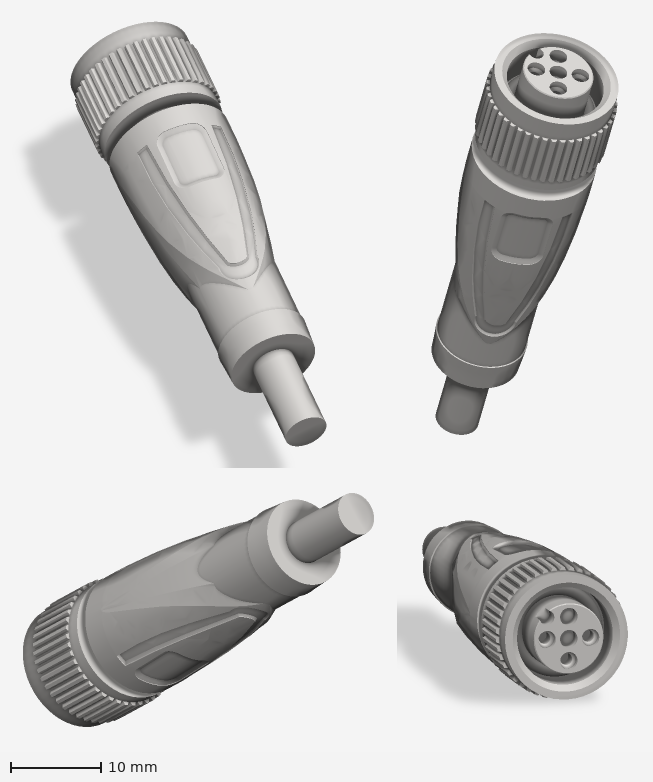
import cadquery as cq
import math

LENGTH = 55.3

RING_START = 1.05
RING_END = 11.5
RING_RADIUS = 7.0
KNURL_START = 3.55
KNURL_END = 9.9
KNURL_RADIUS = 7.4
TOOTH_COUNT = 45
TOOTH_ROOT_WIDTH = 0.85
TOOTH_TIP_WIDTH = 0.4
TOOTH_OVERLAP = 0.1
SOCKET_RADIUS = 5.5
SOCKET_MOUTH_RADIUS = 6.15
SOCKET_CHAMFER = SOCKET_MOUTH_RADIUS - SOCKET_RADIUS
SOCKET_FLOOR = 5.55

INSERT_RADIUS = 4.0
INSERT_CHAMFER = 0.1
SEAL_RADIUS = 4.6
SEAL_THICKNESS = 1.3
CONTACT_PITCH = 2.5
CONTACT_HOLE_RADIUS = 1.0
CONTACT_HOLE_DEPTH = 0.85
CONTACT_BORE_RADIUS = 0.65
CONTACT_BORE_DEPTH = 1.65
CONTACT_FUNNEL_DEPTH = 0.35
PLAIN_HOLE_DEPTH = 1.65
KEY_RADIUS = 0.85
KEY_DEPTH = 2.2

NECK_RADIUS = 4.8
GRIP_START = 13.15
TAPER_START = 16.25
TAPER_MIDDLE = 27.65
TAPER_END = 38.15
GRIP_RADIUS = 7.1
TAPER_MIDDLE_RADIUS = 6.4
SLEEVE_RADIUS = 5.05
COLLAR_START = 41.75
COLLAR_END = 45.25
COLLAR_START_RADIUS = 5.2
COLLAR_END_RADIUS = 5.0
CABLE_RADIUS = 2.45

SIDE_START_SLOPE = 0.045
SIDE_CURVE_RADIUS = 91.25
FACET_SLOPE = 0.12
FACET_START_HALF_HEIGHT = 0.1
FACET_END_TILT = math.radians(54)
SIDE_SECTIONS = 6
SIDE_OVERRUN = 0.55

CHANNEL_DEPTH = 0.3
CHANNEL_CHAMFER = 0.2
PANEL_DEPTH = 0.4
PANEL_CHAMFER_HEIGHT = 0.35
PANEL_CHAMFER_WIDTH = 0.65
CHANNEL_ARM_END = 34.3
CHANNEL_OUTER_EDGE = (5.0, 4.05, 2.3, 36.8)
CHANNEL_INNER_EDGE = (3.8, 2.65, 1.1, 34.75)
PANEL_START = 15.85
PANEL_END = 23.7
PANEL_WIDTH = 5.85
PANEL_CORNER = 1.4
ORNAMENT_FLOOR_START = PANEL_START - 0.55


def cylinder(start, end, radius):
    return cq.Workplane("YZ", origin=(start, 0, 0)).circle(radius).extrude(end - start)


def cone(start, end, start_radius, end_radius):
    outline = [(start, 0), (start, start_radius), (end, end_radius), (end, 0)]
    return cq.Workplane("XY").polyline(outline).close().revolve(360, (0, 0, 0), (1, 0, 0))


def grip_of_revolution(inset=0.0, taper_start=TAPER_START):
    """Round grip that tapers to the cable sleeve, shrunk inwards by inset."""
    return (
        cq.Workplane("XY")
        .moveTo(GRIP_START, 0)
        .lineTo(GRIP_START, GRIP_RADIUS - inset)
        .lineTo(taper_start, GRIP_RADIUS - inset)
        .threePointArc((TAPER_MIDDLE, TAPER_MIDDLE_RADIUS - inset), (TAPER_END, SLEEVE_RADIUS - inset))
        .lineTo(TAPER_END, 0)
        .close()
        .revolve(360, (0, 0, 0), (1, 0, 0))
    )


def side_section(x):
    """Cross-section of the material cut from the +Y side of the grip at x."""
    along = x - TAPER_START
    face = GRIP_RADIUS - SIDE_START_SLOPE * along - along**2 / (2 * SIDE_CURVE_RADIUS)
    half_height = FACET_START_HALF_HEIGHT + FACET_SLOPE * along
    tilt = FACET_END_TILT * (along / (TAPER_END - TAPER_START)) ** 3
    reach = 2 * GRIP_RADIUS
    tip_y = face - reach * math.sin(tilt)
    tip_z = half_height + reach * math.cos(tilt)
    points = [
        (face, -half_height),
        (face, half_height),
        (tip_y, tip_z),
        (reach, tip_z),
        (reach, -tip_z),
        (tip_y, -tip_z),
    ]
    return cq.Wire.makePolygon([cq.Vector(x, y, z) for y, z in points], close=True)


def side_cutter():
    start = TAPER_START - SIDE_OVERRUN
    step = (TAPER_END + SIDE_OVERRUN - start) / (SIDE_SECTIONS - 1)
    sections = [side_section(start + i * step) for i in range(SIDE_SECTIONS)]
    return cq.Workplane(cq.Solid.makeLoft(sections))


def tongue(start_width, middle_width, end_width, tip):
    """Upright block with bowed sides that narrow towards a rounded tip."""
    return (
        cq.Workplane("XY")
        .moveTo(TAPER_START, -start_width)
        .threePointArc((TAPER_MIDDLE, -middle_width), (CHANNEL_ARM_END, -end_width))
        .threePointArc((tip, 0), (CHANNEL_ARM_END, end_width))
        .threePointArc((TAPER_MIDDLE, middle_width), (TAPER_START, start_width))
        .close()
        .extrude(2 * GRIP_RADIUS)
    )


def channel_cutter():
    """U-shaped channel with sloping edges and a floor that follows the grip."""
    outer = tongue(*CHANNEL_OUTER_EDGE)
    inner = tongue(*CHANNEL_INNER_EDGE)
    floor = grip_of_revolution(CHANNEL_DEPTH, ORNAMENT_FLOOR_START)
    return outer.cut(inner).cut(floor).faces("<Z").chamfer(CHANNEL_CHAMFER)


def panel_cutter():
    """Rounded rectangular recess whose walls slope in towards the curved floor."""
    floor = grip_of_revolution(PANEL_DEPTH, ORNAMENT_FLOOR_START)
    return (
        cq.Workplane("XY", origin=((PANEL_START + PANEL_END) / 2, 0, 0))
        .rect(PANEL_END - PANEL_START, PANEL_WIDTH)
        .extrude(2 * GRIP_RADIUS)
        .edges("|Z")
        .fillet(PANEL_CORNER)
        .cut(floor)
        .faces("<Z")
        .chamfer(PANEL_CHAMFER_WIDTH, PANEL_CHAMFER_HEIGHT)
    )


def grip():
    side = side_cutter()
    ornament = channel_cutter().union(panel_cutter())
    return (
        grip_of_revolution()
        .cut(side)
        .cut(side.mirror("XZ"))
        .cut(ornament)
        .cut(ornament.mirror("XY"))
    )


def knurl_tooth(index):
    root = RING_RADIUS - TOOTH_OVERLAP
    return (
        cq.Workplane("YZ", origin=(KNURL_START, 0, 0))
        .polyline([
            (-root, -TOOTH_ROOT_WIDTH / 2),
            (-KNURL_RADIUS, -TOOTH_TIP_WIDTH / 2),
            (-KNURL_RADIUS, TOOTH_TIP_WIDTH / 2),
            (-root, TOOTH_ROOT_WIDTH / 2),
        ])
        .close()
        .extrude(KNURL_END - KNURL_START)
        .rotate((0, 0, 0), (1, 0, 0), index * 360 / TOOTH_COUNT)
        .val()
    )


def coupling_ring():
    teeth = [knurl_tooth(i) for i in range(TOOTH_COUNT)]
    ring = cq.Workplane(cylinder(RING_START, RING_END, RING_RADIUS).val().fuse(*teeth))
    socket = cylinder(RING_START, SOCKET_FLOOR, SOCKET_RADIUS)
    mouth = cone(RING_START, RING_START + SOCKET_CHAMFER, SOCKET_MOUTH_RADIUS, SOCKET_RADIUS)
    return ring.cut(socket).cut(mouth)


def contact_bore(y, z):
    funnel_end = CONTACT_HOLE_DEPTH + CONTACT_FUNNEL_DEPTH
    hole = cylinder(0, CONTACT_HOLE_DEPTH, CONTACT_HOLE_RADIUS)
    funnel = cone(CONTACT_HOLE_DEPTH, funnel_end, CONTACT_HOLE_RADIUS, CONTACT_BORE_RADIUS)
    bore = cylinder(funnel_end, funnel_end + CONTACT_BORE_DEPTH, CONTACT_BORE_RADIUS)
    return hole.union(funnel).union(bore).translate((0, y, z))


def insert():
    body = cylinder(0, SOCKET_FLOOR, INSERT_RADIUS).faces("<X").chamfer(INSERT_CHAMFER)
    for y, z in [(CONTACT_PITCH, 0), (-CONTACT_PITCH, 0), (0, -CONTACT_PITCH)]:
        body = body.cut(contact_bore(y, z))
    plain_hole = cylinder(0, PLAIN_HOLE_DEPTH, CONTACT_HOLE_RADIUS)
    key = cylinder(0, KEY_DEPTH, KEY_RADIUS)
    return (
        body.cut(plain_hole)
        .cut(plain_hole.translate((0, 0, CONTACT_PITCH)))
        .cut(key.translate((0, CONTACT_PITCH, CONTACT_PITCH)))
    )


def seal():
    return (
        cq.Workplane("XY", origin=(SOCKET_FLOOR, SEAL_RADIUS, 0))
        .circle(SEAL_THICKNESS / 2)
        .revolve(360, (0, -SEAL_RADIUS, 0), (1, -SEAL_RADIUS, 0))
    )


result = (
    coupling_ring()
    .union(insert())
    .union(seal())
    .union(cylinder(RING_END, GRIP_START, NECK_RADIUS))
    .union(grip())
    .union(cylinder(GRIP_START, COLLAR_START, SLEEVE_RADIUS))
    .union(cone(COLLAR_START, COLLAR_END, COLLAR_START_RADIUS, COLLAR_END_RADIUS))
    .union(cylinder(COLLAR_END, LENGTH, CABLE_RADIUS))
)